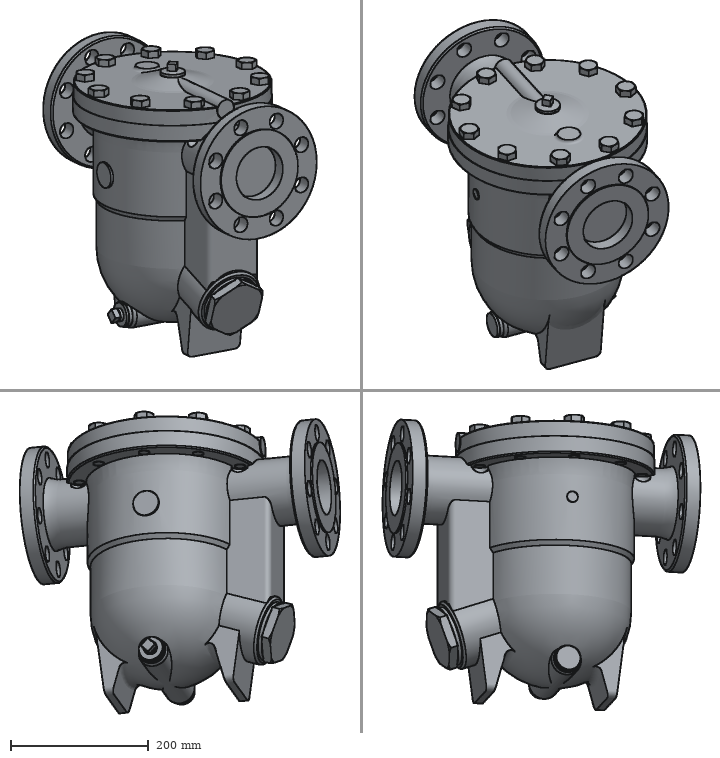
import cadquery as cq
import math


UPPER_R = 115.5
LOWER_R = 111.0
NECK_TOP_R = 118.0
DOME_Z = 133.2
TAPER_BOTTOM_Z = 206.0
TAPER_TOP_Z = 213.5
NECK_Z = 311.5

BODY_FLANGE_R = 145.0
BODY_FLANGE_Z = 336.5
JOINT_Z = 361.5
COVER_R = 144.0
COVER_Z = 385.0
RIM_ROUND = 2.0
COVER_CHAMFER = 1.5

BOLT_COUNT = 10
BOLT_CIRCLE_R = 127.0
BOLT_FLATS = 25.5
BOLT_HEAD_H = 10.5
BOLT_SHANK_D = 16.0
BOLT_END_H = 1.0
BOLT_POCKET_R = 12.5
BOLT_POCKET_DEPTH = 14.5

CONE_R = 54.0
CONE_SKIRT_R = 60.0
CONE_SKIRT_H = 1.0
CONE_TOP_R = 16.5
CONE_TOP_Z = 395.0
COLLAR_D = 36.0
COLLAR_H = 4.8
STEM_NECK_D = 16.0
STEM_DIAGONAL = 18.2
STEM_Z = 401.5
TOP_Z = 412.0

PAD_X = -69.5
PAD_R = 17.0
PAD_H = 5.0
RIDGE_R = 14.5
RIDGE_TOP_Z = 394.0

PIPE_Z = 306.5
PIPE_R = 50.0
BORE_D = 80.0
BORE_DEPTH = 20.0
INLET_X = -197.0
OUTLET_X = 237.0
FLANGE_D = 200.0
FLANGE_T = 23.0
FLANGE_CHAMFER = 2.5
FACE_D = 132.0
FACE_T = 2.5
HUB_R = 54.0
HUB_L = 18.5
HOLE_COUNT = 8
HOLE_D = 23.0
HOLE_CIRCLE_R = 80.0

CHANNEL_X = 167.0
CHANNEL_HALF_W = 44.0
CHANNEL_ROUND = 8.5
PORT_ANGLE = 20.0
PORT_R = 51.0
PORT_CHAMFER = 3.5
PORT_X = 166.5
PORT_Z = 85.5
PORT_END = -11.0
GASKET_R = 44.0
PLUG_CORNERS = 95.0
PLUG_BACK = -5.0
PLUG_H = 13.5
PLUG_CHAMFER = 2.0

DRAIN_Z = 44.0
DRAIN_R = 22.0
DRAIN_MOUTH_R = 20.0
DRAIN_STRAIGHT = 75.0
DRAIN_END = 80.7
DRAIN_GASKET_R = 19.0
DRAIN_COLLAR_D = 36.0
DRAIN_COLLAR_START = 86.5
DRAIN_COLLAR_END = 90.3
DRAIN_NECK_D = 19.5
DRAIN_NECK_END = 95.5
DRAIN_SQUARE_DIAGONAL = 21.5
DRAIN_SQUARE_END = 105.0

FEET_MID_X = 14.8
FOOT_HALF_W = 45.0
FOOT_CORNER_R = 8.5
FOOT_OUTER_BOTTOM = 96.8
FOOT_OUTER_TOP = 110.2
FOOT_INNER_BOTTOM = 84.5
FOOT_INNER_TOP = 60.5
FOOT_TOP_Z = 104.0
FOOT_INNER_Z = 87.0
FOOT_OUTER_BLEND_R = 19.5
FOOT_INNER_BLEND_R = 8.5

FRONT_PLATE_D = 38.0
FRONT_PLATE_Y = -118.0
FRONT_PLATE_Z = 261.0
REAR_PLATE_D = 16.0
REAR_PLATE_Y = 116.7
REAR_PLATE_Z = 278.0


def cylinder(start, direction, radius, length):
    """Solid cylinder from a start point along a direction."""
    return cq.Workplane(cq.Solid.makeCylinder(radius, length, cq.Vector(*start), cq.Vector(*direction)))


def body():
    """Domed vessel with its flange and the cover plate, revolved about Z."""
    dome_mid = LOWER_R * math.sqrt(0.5)
    neck_rise = BODY_FLANGE_Z - NECK_Z
    neck_flare = NECK_TOP_R - UPPER_R
    neck_mid = (UPPER_R + neck_flare / 4, NECK_Z + neck_rise / 2)
    profile = (
        cq.Workplane("XZ")
        .moveTo(0, DOME_Z - LOWER_R)
        .threePointArc((dome_mid, DOME_Z - dome_mid), (LOWER_R, DOME_Z))
        .lineTo(LOWER_R, TAPER_BOTTOM_Z)
        .lineTo(UPPER_R, TAPER_TOP_Z)
        .lineTo(UPPER_R, NECK_Z)
        .threePointArc(neck_mid, (NECK_TOP_R, BODY_FLANGE_Z))
        .lineTo(BODY_FLANGE_R - RIM_ROUND, BODY_FLANGE_Z)
        .lineTo(BODY_FLANGE_R, BODY_FLANGE_Z + RIM_ROUND)
        .lineTo(BODY_FLANGE_R, JOINT_Z)
        .lineTo(COVER_R, JOINT_Z)
        .lineTo(COVER_R, COVER_Z - COVER_CHAMFER)
        .lineTo(COVER_R - COVER_CHAMFER, COVER_Z)
        .lineTo(0, COVER_Z)
        .close()
    )
    return profile.revolve(360, (0, 0, 0), (0, 1, 0)).rotate((0, 0, 0), (0, 0, 1), 90)


def cover_centre():
    """Low cone, collar and the square stem turned 45 degrees."""
    neck_top = CONE_TOP_Z + COLLAR_H
    turned = (
        cq.Workplane("XZ")
        .moveTo(0, COVER_Z - 4.5)
        .lineTo(CONE_SKIRT_R, COVER_Z - 4.5)
        .lineTo(CONE_SKIRT_R, COVER_Z)
        .lineTo(CONE_R, COVER_Z + CONE_SKIRT_H)
        .lineTo(CONE_TOP_R, CONE_TOP_Z)
        .lineTo(COLLAR_D / 2, CONE_TOP_Z)
        .lineTo(COLLAR_D / 2, neck_top)
        .lineTo(STEM_NECK_D / 2, STEM_Z)
        .lineTo(0, STEM_Z)
        .close()
        .revolve(360, (0, 0, 0), (0, 1, 0))
    )
    stem = cq.Workplane("XY", origin=(0, 0, STEM_Z)).polygon(4, STEM_DIAGONAL).extrude(TOP_Z - STEM_Z)
    return turned.union(stem)


def cover_pad():
    """Round pad on the cover with a concave foot."""
    sag = PAD_H * (1 - math.sqrt(0.5))
    profile = (
        cq.Workplane("XZ", origin=(PAD_X, 0, 0))
        .moveTo(0, COVER_Z - 4.5)
        .lineTo(PAD_R + PAD_H, COVER_Z - 4.5)
        .lineTo(PAD_R + PAD_H, COVER_Z)
        .threePointArc((PAD_R + sag, COVER_Z + sag), (PAD_R, COVER_Z + PAD_H))
        .lineTo(0, COVER_Z + PAD_H)
        .close()
    )
    return profile.revolve(360, (0, 0, 0), (0, 1, 0))


def cover_ridge():
    """Half-buried round ridge running from the cone to the +X rim."""
    ridge = cylinder((0, 0, RIDGE_TOP_Z - RIDGE_R), (1, 0, 0), RIDGE_R, BODY_FLANGE_R)
    above_joint = cq.Workplane("XY", origin=(0, 0, JOINT_Z)).rect(
        2 * BODY_FLANGE_R, 2 * BODY_FLANGE_R).extrude(TOP_Z - JOINT_Z)
    return ridge.intersect(above_joint)


def bolts():
    """Chamfered hexagon heads on the cover and shank ends below the flange."""
    corners = BOLT_FLATS / math.cos(math.pi / 6)
    head_slice = cq.Workplane("XY").polygon(6, corners).extrude(BOLT_HEAD_H)
    bevel = corners / 2 - BOLT_FLATS / 2
    crown = (
        cq.Workplane("XY")
        .circle(corners / 2)
        .extrude(BOLT_HEAD_H)
        .faces(">Z")
        .chamfer(bevel / 2, bevel)
    )
    head = head_slice.intersect(crown).translate((0, BOLT_CIRCLE_R, COVER_Z))
    tail = cylinder((0, BOLT_CIRCLE_R, BODY_FLANGE_Z - BOLT_END_H), (0, 0, 1), BOLT_SHANK_D / 2, 4.5)
    bolt = head.union(tail)
    ring = bolt
    for index in range(1, BOLT_COUNT):
        ring = ring.union(bolt.rotate((0, 0, 0), (0, 0, 1), index * 360 / BOLT_COUNT))
    return ring


def bolt_pockets():
    """Ball-ended clearances under the body flange for the bolts beside the pipe."""
    straight = BOLT_POCKET_DEPTH - BOLT_POCKET_R
    floor_z = BODY_FLANGE_Z - straight
    pocket = (
        cq.Workplane("XY", origin=(0, 0, floor_z))
        .circle(BOLT_POCKET_R)
        .extrude(straight)
        .union(cq.Workplane("XY", origin=(0, 0, floor_z)).sphere(BOLT_POCKET_R))
        .intersect(cq.Workplane("XY", origin=(0, 0, floor_z - BOLT_POCKET_R)).rect(
            4 * BOLT_POCKET_R, 4 * BOLT_POCKET_R).extrude(BOLT_POCKET_DEPTH))
    )
    half_pitch = math.pi / BOLT_COUNT
    x = BOLT_CIRCLE_R * math.cos(half_pitch)
    y = BOLT_CIRCLE_R * math.sin(half_pitch)
    pockets = cq.Workplane("XY")
    for sx in (-1, 1):
        for sy in (-1, 1):
            pockets = pockets.union(pocket.translate((sx * x, sy * y, 0)))
    return pockets


def pipe_end(face_x, side):
    """Half of the flow pipe with its weld neck and drilled flange; side is -1 or +1 along X."""
    length = abs(face_x)
    front = length - FACE_T
    back = front - FLANGE_T
    neck = back - HUB_L
    neck_mid = (back - 0.4 * HUB_L, PIPE_R + 0.35 * (HUB_R - PIPE_R))
    flange_r = FLANGE_D / 2
    solid = (
        cq.Workplane("XY")
        .moveTo(0, 0)
        .lineTo(0, PIPE_R)
        .lineTo(neck, PIPE_R)
        .threePointArc(neck_mid, (back, HUB_R))
        .lineTo(back, flange_r - FLANGE_CHAMFER)
        .lineTo(back + FLANGE_CHAMFER, flange_r)
        .lineTo(front, flange_r)
        .lineTo(front, FACE_D / 2)
        .lineTo(length, FACE_D / 2)
        .lineTo(length, 0)
        .close()
        .revolve(360, (0, 0, 0), (1, 0, 0))
    )
    holes = (
        cq.Workplane("YZ", origin=(back, 0, 0))
        .polarArray(HOLE_CIRCLE_R, 180 / HOLE_COUNT, 360, HOLE_COUNT)
        .circle(HOLE_D / 2)
        .extrude(FLANGE_T)
    )
    solid = solid.cut(holes)
    if side < 0:
        solid = solid.mirror("YZ")
    return solid.translate((0, 0, PIPE_Z))


def flange_bores():
    """Blind round recesses in both flange faces."""
    inlet = cylinder((INLET_X, 0, PIPE_Z), (1, 0, 0), BORE_D / 2, BORE_DEPTH)
    outlet = cylinder((OUTLET_X, 0, PIPE_Z), (-1, 0, 0), BORE_D / 2, BORE_DEPTH)
    return inlet.union(outlet)


def port_point(along, across=0.0):
    """XZ point of the inclined port, measured along its axis and square to it (upwards)."""
    angle = math.radians(PORT_ANGLE)
    x = PORT_X + along * math.cos(angle) + across * math.sin(angle)
    z = PORT_Z - along * math.sin(angle) + across * math.cos(angle)
    return x, z


def channel():
    """Side channel between the outlet pipe and the screen port."""
    rim = port_point(PORT_END - PORT_CHAMFER)
    rim_top_z = rim[1] + (CHANNEL_X - rim[0]) / math.tan(math.radians(PORT_ANGLE))
    core = port_point(-PORT_X)
    block = (
        cq.Workplane("XZ")
        .moveTo(0, PIPE_Z)
        .lineTo(CHANNEL_X, PIPE_Z)
        .lineTo(CHANNEL_X, rim_top_z)
        .lineTo(*rim)
        .lineTo(*core)
        .close()
        .extrude(CHANNEL_HALF_W, both=True)
    )
    return block.edges("|Z and >X").fillet(CHANNEL_ROUND)


def screen_port():
    """Inclined round port closed by a gasket and a hexagon plug."""
    core_x, core_z = port_point(-PORT_X)
    angle = math.radians(PORT_ANGLE)
    axis = cq.Vector(math.cos(angle), 0, -math.sin(angle))
    frame = cq.Plane(origin=(core_x, 0, core_z), xDir=(math.sin(angle), 0, math.cos(angle)), normal=axis)
    boss = (
        cq.Workplane(frame)
        .circle(PORT_R)
        .extrude(PORT_X + PORT_END)
        .faces(cq.selectors.DirectionMinMaxSelector(axis))
        .chamfer(PORT_CHAMFER)
    )
    gasket = cq.Workplane(frame).circle(GASKET_R).extrude(PORT_X + PLUG_BACK)
    seat = cq.Workplane(frame).workplane(offset=PORT_X + PLUG_BACK)
    hexagon = seat.polygon(6, PLUG_CORNERS).extrude(PLUG_H)
    crown = (
        seat.circle(PLUG_CORNERS / 2)
        .extrude(PLUG_H)
        .faces(cq.selectors.DirectionMinMaxSelector(axis))
        .chamfer(PLUG_CHAMFER, 2 * PLUG_CHAMFER)
    )
    return boss.union(gasket).union(hexagon.intersect(crown))


def drain():
    """Cross boss along Y with a plug at each end; the -Y plug carries a square."""
    half = (
        cq.Workplane("XY")
        .moveTo(0, 0)
        .lineTo(DRAIN_R, 0)
        .lineTo(DRAIN_R, DRAIN_STRAIGHT)
        .lineTo(DRAIN_MOUTH_R, DRAIN_END)
        .lineTo(DRAIN_GASKET_R, DRAIN_END)
        .lineTo(DRAIN_GASKET_R, DRAIN_COLLAR_START)
        .lineTo(DRAIN_COLLAR_D / 2, DRAIN_COLLAR_START)
        .lineTo(DRAIN_COLLAR_D / 2, DRAIN_COLLAR_END)
        .lineTo(0, DRAIN_COLLAR_END)
        .close()
        .revolve(360, (0, 0, 0), (0, 1, 0))
    )
    neck = cylinder((0, 0, 0), (0, -1, 0), DRAIN_NECK_D / 2, DRAIN_NECK_END)
    square = (
        cq.Workplane("XZ", origin=(0, -DRAIN_NECK_END, 0))
        .polygon(4, DRAIN_SQUARE_DIAGONAL)
        .extrude(DRAIN_SQUARE_END - DRAIN_NECK_END)
    )
    return half.union(half.mirror("XZ")).union(neck).union(square).translate((0, 0, DRAIN_Z))


def foot():
    """The +X foot, measured outwards from the plane midway between the feet."""
    blank = (
        cq.Workplane("XZ")
        .moveTo(FOOT_INNER_BOTTOM, 0)
        .lineTo(FOOT_OUTER_BOTTOM, 0)
        .lineTo(FOOT_OUTER_TOP, FOOT_TOP_Z)
        .lineTo(FOOT_INNER_TOP, FOOT_TOP_Z)
        .lineTo(FOOT_INNER_TOP, FOOT_INNER_Z)
        .close()
        .extrude(FOOT_HALF_W, both=True)
    )
    return blank.faces("<Z").edges("|X").fillet(FOOT_CORNER_R)


def plates():
    """Round plates standing slightly proud of the body."""
    front = cylinder((0, FRONT_PLATE_Y, FRONT_PLATE_Z), (0, 1, 0), FRONT_PLATE_D / 2, -FRONT_PLATE_Y)
    rear = cylinder((0, REAR_PLATE_Y, REAR_PLATE_Z), (0, -1, 0), REAR_PLATE_D / 2, REAR_PLATE_Y)
    return front.union(rear)


def seam_box(x_min, x_max):
    """Selects the edges across the feet whose centres lie on Y = 0 within an X range."""
    return cq.selectors.BoxSelector((x_min, -4.5, DOME_Z - LOWER_R + 4.5), (x_max, 4.5, FOOT_TOP_Z))


def vessel():
    """Body, channel, port and feet; the +X foot is blended into the dome on its inner side only."""
    right_foot = foot().translate((FEET_MID_X, 0, 0))
    left_foot = foot().mirror("YZ").translate((FEET_MID_X, 0, 0))
    blended = body().union(left_foot).union(right_foot).union(channel()).union(screen_port())
    inner_seams = blended.edges(seam_box(FEET_MID_X - FOOT_INNER_BOTTOM, FEET_MID_X + FOOT_INNER_BOTTOM))
    blended = inner_seams.fillet(FOOT_INNER_BLEND_R)
    outer_seam = blended.edges(seam_box(FEET_MID_X - FOOT_OUTER_TOP, FEET_MID_X - FOOT_OUTER_BOTTOM))
    return outer_seam.fillet(FOOT_OUTER_BLEND_R)


result = (
    vessel()
    .union(pipe_end(INLET_X, -1))
    .union(pipe_end(OUTLET_X, 1))
    .cut(bolt_pockets())
    .union(bolts())
    .union(cover_centre())
    .union(cover_pad())
    .union(cover_ridge())
    .union(drain())
    .union(plates())
    .cut(flange_bores())
)